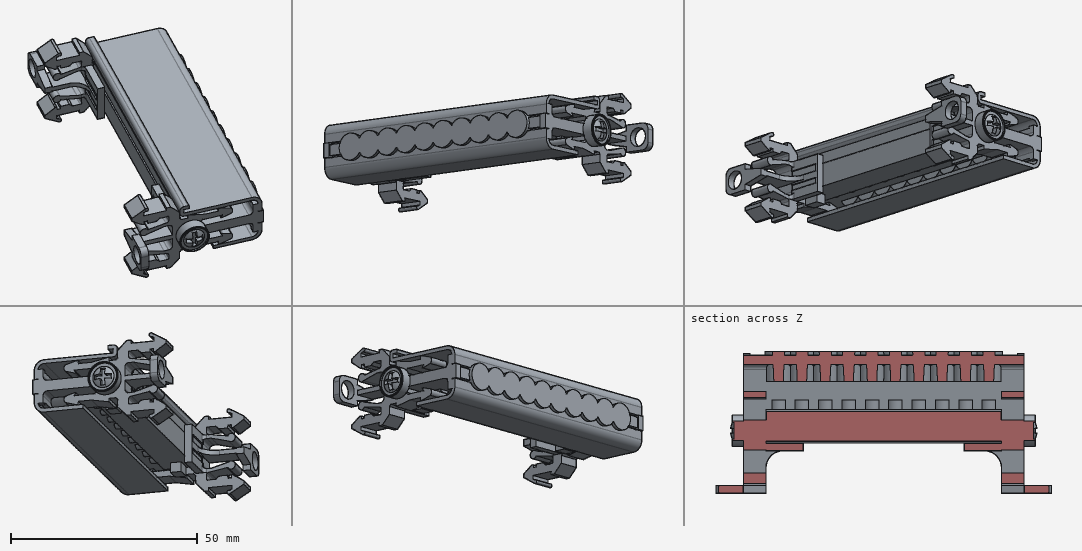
import cadquery as cq
import math

LENGTH = 89.9
DEPTH = 38.0
HEIGHT = 24.0
FOOT_Y = -DEPTH / 2
TOP_Y = DEPTH / 2
HOUSING_END = 37.6

COVER_TOP_Y = 18.0
COVER_WALL = 1.1
COVER_HALF_HEIGHT = 7.4
COVER_BEND = 2.9
COVER_LOWER_EDGE = 4.2
COVER_SLIT = 2.1
HOOK_Y = -5.3
HOOK_TOP = 9.6
HOOK_LIP_Y = -2.7
HOOK_THICKNESS = 1.1
HOOK_LIP_ROUND = 0.4

RAIL_HALF = 3.0 / 2
TEE_END_LENGTH = 1.8
TEE_HEAD_Y = 18.4
TEE_HEAD_HALF = 2.0
TEE_FLANGE_HALF = 4.2
TEE_END_FLANGE_HALF = 4.8
TEE_FLANGE_Y = 15.5
TEE_FILLET = 1.3

SOCKET_COUNT = 10
SOCKET_ROW = 56.3
SOCKET_PITCH = SOCKET_ROW / (SOCKET_COUNT - 1)
SOCKET_RADIUS = 3.7
SOCKET_TAIL_RADIUS = 3.5
SOCKET_BOTTOM_Y = 10.9
PIN_RADIUS = 2.3
PIN_TOP_Y = 5.9

BODY_TOP_Y = 3.4
BODY_BACK_Y = -5.6
LEDGE_BACK_Y = -5.1
BODY_BOTTOM = -3.3
BODY_SEAM = 3.15
LEDGE_TOP_Y = 3.0

BRACKET_WIDTH = 6.1
BRACKET_INNER = HOUSING_END - BRACKET_WIDTH
BRACKET_BACK_Y = -7.5
WEB_HALF = 0.67
WINDOW_HALF = 3.1
WINDOW_CORNER = 1.2
SPRING_BALL_Y = -15.5
SPRING_BALL_Z = 3.9
SPRING_BALL_RADIUS = 1.2
HOOK_TIP_RADIUS = 0.5
HOOK_TIP_Y = -14.8
TOOTH_TAB_START = 30.7
TOOTH_TAB_END = 26.4
TOOTH_TAB_BOTTOM = -6.0
TOOTH_TAB_Y = (-3.1, 0.0)

PAD_END = 21.5
PAD_HALF = 5.3
PAD_BACK_Y = -7.6
SLOT_END = 22.4
SLOT_DEPTH = 0.45
SLOT_SPANS = ((0.7, 2.7), (-2.7, -1.2))
GUSSET_RADIUS = 4.5
PAD_FILLET = 0.9

LUG_THICKNESS = 2.2
LUG_HALF = 3.7
LUG_CORNER = 1.9
LUG_HOLE_X = 41.5
LUG_HOLE_RADIUS = 2.5
LUG_NECK_HALF = 2.2
LUG_TIP_HALF = 0.9

SCREW_Y = -2.25
SCREW_RADIUS = 4.2
SCREW_FACE = 40.6
SCREW_CHAMFER = 0.2
RIM_RADIUS = 3.9
RIM_DEPTH = 0.5
DOME_RADIUS = 3.0
DOME_HEIGHT = 1.0
CROSS_LENGTH = 4.7
CROSS_WIDTH = 1.3
CROSS_DEPTH = 1.8


def block(x, y, z):
    """Axis-aligned box given by its two limits on each axis."""
    size = [max(span) - min(span) for span in (x, y, z)]
    return cq.Workplane("XY").box(*size, centered=False).translate((min(x), min(y), min(z)))


def extrude_x(profile, start, end):
    """Extrude a closed profile on the YZ plane from start to end along X."""
    return profile.extrude(end - start).translate((start, 0, 0))


def both_sides(solid):
    """Solid joined with its mirror image across the XY plane."""
    return solid.union(solid.mirror("XY"))


def make_cover():
    """Bent sheet over the housing, with a hooked edge on top and a plain edge below."""
    inner_z = COVER_HALF_HEIGHT - COVER_WALL
    inner_y = COVER_TOP_Y - COVER_WALL
    inner_bend = COVER_BEND - COVER_WALL

    def bent_sheet(edge_y):
        bend_y = COVER_TOP_Y - COVER_BEND
        bend_z = COVER_HALF_HEIGHT - COVER_BEND
        diagonal = math.sqrt(0.5)
        return extrude_x(
            cq.Workplane("YZ")
            .moveTo(COVER_TOP_Y, COVER_SLIT)
            .lineTo(COVER_TOP_Y, bend_z)
            .threePointArc((bend_y + COVER_BEND * diagonal, bend_z + COVER_BEND * diagonal),
                           (bend_y, COVER_HALF_HEIGHT))
            .lineTo(edge_y, COVER_HALF_HEIGHT)
            .lineTo(edge_y, inner_z)
            .lineTo(bend_y, inner_z)
            .threePointArc((bend_y + inner_bend * diagonal, bend_z + inner_bend * diagonal),
                           (inner_y, bend_z))
            .lineTo(inner_y, COVER_SLIT)
            .close(),
            -HOUSING_END, HOUSING_END)

    full = (-HOUSING_END, HOUSING_END)
    hook = block(full, (HOOK_Y, HOOK_LIP_Y), (inner_z, HOOK_TOP))
    hook = hook.edges("|X and <Y").fillet(HOOK_THICKNESS)
    hook = hook.cut(block(full, (HOOK_Y + HOOK_THICKNESS, 0),
                          (COVER_HALF_HEIGHT, HOOK_TOP - HOOK_THICKNESS)))
    hook = hook.edges("|X and >Y").edges(">Z").fillet(HOOK_LIP_ROUND)
    lower = bent_sheet(COVER_LOWER_EDGE).mirror("XY")
    return bent_sheet(HOOK_Y + HOOK_THICKNESS).union(hook).union(lower)


def make_tee():
    """T-section rail along the whole housing, with a wider flange and a raised head at each end."""
    inner_y = COVER_TOP_Y - COVER_WALL
    span = (-HOUSING_END, HOUSING_END)
    stem = block(span, (SCREW_Y, COVER_TOP_Y), (-RAIL_HALF, RAIL_HALF))
    flange = block(span, (TEE_FLANGE_Y, inner_y), (-TEE_FLANGE_HALF, TEE_FLANGE_HALF))
    tee = stem.union(flange)
    margin = 0.1
    inside_corners = cq.selectors.BoxSelector(
        (-margin, TEE_FLANGE_Y - margin, -RAIL_HALF - margin),
        (margin, TEE_FLANGE_Y + margin, RAIL_HALF + margin))
    tee = tee.edges("|X").edges(inside_corners).fillet(TEE_FILLET)
    end_span = (-HOUSING_END, -HOUSING_END + TEE_END_LENGTH)
    head = block(end_span, (inner_y, TEE_HEAD_Y), (-TEE_HEAD_HALF, TEE_HEAD_HALF))
    end_flange = block(end_span, (TEE_FLANGE_Y, inner_y),
                       (-TEE_END_FLANGE_HALF, TEE_END_FLANGE_HALF))
    tee_end = head.union(end_flange)
    return tee.union(tee_end).union(tee_end.mirror("YZ"))


def make_sockets():
    """Row of tapered sockets along +Y with a round pin behind each one."""
    def cone(x, low, low_radius, high, high_radius):
        return cq.Workplane(cq.Solid.makeCone(low_radius, high_radius, high - low,
                                              cq.Vector(x, low, 0), cq.Vector(0, 1, 0)))

    sockets = cq.Workplane("XY")
    for index in range(SOCKET_COUNT):
        x = index * SOCKET_PITCH - SOCKET_ROW / 2
        pin = (cq.Workplane("XZ", origin=(x, PIN_TOP_Y, 0))
               .circle(PIN_RADIUS).extrude(PIN_TOP_Y - BODY_TOP_Y))
        sockets = sockets.union(cone(x, SOCKET_BOTTOM_Y, SOCKET_TAIL_RADIUS, TOP_Y, SOCKET_RADIUS))
        sockets = sockets.union(pin)
    return sockets


def make_body():
    """Core block with a set-back ledge that carries the cover."""
    ledge_top = COVER_HALF_HEIGHT - COVER_WALL
    span = (-BRACKET_INNER, BRACKET_INNER)
    core = block(span, (BODY_BACK_Y, BODY_TOP_Y), (BODY_BOTTOM, BODY_SEAM))
    ledge = block(span, (LEDGE_BACK_Y, LEDGE_TOP_Y), (BODY_SEAM, ledge_top))
    return core.union(ledge)


def make_bracket_frame():
    """Constant-section bracket: two latches, two springs, two hooked feet and a web."""
    half_outline = (
        cq.Workplane("YZ")
        .moveTo(0, 0)
        .lineTo(BRACKET_BACK_Y, 0)
        .lineTo(BRACKET_BACK_Y, WINDOW_HALF)
        .radiusArc((BRACKET_BACK_Y - WINDOW_CORNER, WINDOW_HALF + WINDOW_CORNER), -WINDOW_CORNER)
        .lineTo(-9.9, 4.2)
        .lineTo(-14.9, 2.9)
        .lineTo(SPRING_BALL_Y, SPRING_BALL_Z)
        .lineTo(-14.3, 4.5)
        .lineTo(-9.35, 5.3)
        .threePointArc((-8.8, 5.5), (-8.5, 5.9))
        .lineTo(-8.5, 7.0)
        .threePointArc((-8.6, 7.4), (-9.0, 7.5))
        .lineTo(-11.15, 7.5)
        .lineTo(-12.0, 6.65)
        .lineTo(-14.5, 6.65)
        .lineTo(-14.6, 7.5)
        .lineTo(-15.5, 7.5)
        .lineTo(-15.55, 6.65)
        .lineTo(-16.1, 6.65)
        .lineTo(FOOT_Y, 8.6)
        .lineTo(FOOT_Y, 9.6)
        .lineTo(-15.2, 11.9)
        .lineTo(-14.8, 11.1)
        .lineTo(-15.6, 10.6)
        .lineTo(-15.6, 9.6)
        .lineTo(-9.2, 9.6)
        .lineTo(-9.2, 10.5)
        .lineTo(-8.0, 10.5)
        .lineTo(-5.5, 8.0)
        .lineTo(-5.5, 5.8)
        .lineTo(-4.9, 5.3)
        .lineTo(-3.1, 5.3)
        .lineTo(-3.1, 6.3)
        .lineTo(1.9, 5.3)
        .lineTo(5.6, 5.3)
        .lineTo(5.7, 6.2)
        .lineTo(6.4, 6.1)
        .lineTo(9.2, 5.3)
        .threePointArc((9.6, 4.5), (9.2, 3.5))
        .lineTo(6.7, 2.8)
        .lineTo(6.3, 2.8)
        .lineTo(6.7, 3.6)
        .lineTo(1.1, 3.6)
        .lineTo(0, 2.7)
        .close())
    span = (-HOUSING_END, -BRACKET_INNER)
    half = extrude_x(half_outline, *span)
    rounds = (
        (SPRING_BALL_Y, SPRING_BALL_Z, SPRING_BALL_RADIUS),
        (HOOK_TIP_Y, HEIGHT / 2 - HOOK_TIP_RADIUS, HOOK_TIP_RADIUS),
    )
    for y, z, radius in rounds:
        half = half.union(extrude_x(cq.Workplane("YZ").center(y, z).circle(radius), *span))
    web = block(span, (FOOT_Y, BRACKET_BACK_Y), (-WEB_HALF, WEB_HALF))
    return both_sides(half).union(web)


def make_pad():
    """Flat pad with two shallow slots, a corner fillet and the gusset to the web."""
    pad = block((-BRACKET_INNER, -PAD_END), (PAD_BACK_Y, BODY_BACK_Y), (-PAD_HALF, PAD_HALF))

    def quarter_gusset(radius, half_height):
        corner = block((-BRACKET_INNER, -BRACKET_INNER + radius),
                       (PAD_BACK_Y - radius, PAD_BACK_Y), (-half_height, half_height))
        round_cut = (cq.Workplane("XY", origin=(-BRACKET_INNER + radius, PAD_BACK_Y - radius,
                                                -half_height))
                     .circle(radius).extrude(2 * half_height))
        return corner.cut(round_cut)

    for low, high in SLOT_SPANS:
        pad = pad.cut(block((-BRACKET_INNER, -SLOT_END),
                            (PAD_BACK_Y, PAD_BACK_Y + SLOT_DEPTH), (low, high)))
    fillet_span = (-BRACKET_INNER, -BRACKET_INNER + PAD_FILLET)
    window = block(fillet_span, (FOOT_Y, 0), (-WINDOW_HALF, WINDOW_HALF))
    for z in (-WINDOW_HALF, WINDOW_HALF):
        corner_round = cq.Workplane("YZ").center(BRACKET_BACK_Y - WINDOW_CORNER, z)
        window = window.union(extrude_x(corner_round.circle(WINDOW_CORNER), *fillet_span))
    side_fillet = quarter_gusset(PAD_FILLET, PAD_HALF).cut(window)
    return pad.union(quarter_gusset(GUSSET_RADIUS, WEB_HALF)).union(side_fillet)


def make_lug():
    """Screw-down lug with a rounded outer end and a neck tapering towards the web."""
    outer = LENGTH / 2
    plate = block((-outer, -HOUSING_END), (FOOT_Y, FOOT_Y + LUG_THICKNESS), (-LUG_HALF, LUG_HALF))
    plate = plate.edges("|Y and <X").fillet(LUG_CORNER)
    neck = (cq.Workplane("XZ", origin=(0, FOOT_Y + LUG_THICKNESS, 0))
            .polyline([(-HOUSING_END, -LUG_NECK_HALF), (-BRACKET_INNER, -LUG_TIP_HALF),
                       (-BRACKET_INNER, LUG_TIP_HALF), (-HOUSING_END, LUG_NECK_HALF)])
            .close().extrude(LUG_THICKNESS))
    hole = (cq.Workplane("XZ", origin=(-LUG_HOLE_X, FOOT_Y + LUG_THICKNESS, 0))
            .circle(LUG_HOLE_RADIUS).extrude(LUG_THICKNESS))
    return plate.union(neck).cut(hole)


def make_screw():
    """Screw head with a rim around a sunken floor, a dome on the floor and a cross recess."""
    def axial(profile, start, end):
        return extrude_x(profile(cq.Workplane("YZ").center(SCREW_Y, 0)), start, end)

    floor = SCREW_FACE - RIM_DEPTH
    dome_tip = floor + DOME_HEIGHT
    head = axial(lambda plane: plane.circle(SCREW_RADIUS), -SCREW_FACE, -HOUSING_END)
    head = head.faces("<X").edges().chamfer(SCREW_CHAMFER)
    head = head.cut(axial(lambda plane: plane.circle(RIM_RADIUS), -SCREW_FACE, -floor))
    sphere_radius = (DOME_RADIUS ** 2 + DOME_HEIGHT ** 2) / (2 * DOME_HEIGHT)
    ball = cq.Workplane("XY").sphere(sphere_radius).translate(
        (sphere_radius - dome_tip, SCREW_Y, 0))
    cap_zone = axial(lambda plane: plane.circle(DOME_RADIUS), -dome_tip, -floor)
    screw = head.union(ball.intersect(cap_zone))
    for width, height in ((CROSS_LENGTH, CROSS_WIDTH), (CROSS_WIDTH, CROSS_LENGTH)):
        slot = axial(lambda plane: plane.rect(width, height), -dome_tip, CROSS_DEPTH - dome_tip)
        screw = screw.cut(slot)
    return screw


def make_tooth_tab():
    """Inner locking tab hanging below the body."""
    return block((-TOOTH_TAB_START, -TOOTH_TAB_END), TOOTH_TAB_Y, (TOOTH_TAB_BOTTOM, BODY_BOTTOM))


def make_end():
    """Everything fitted to the -X end of the housing."""
    return (make_bracket_frame()
            .union(make_pad())
            .union(make_lug())
            .union(make_screw())
            .union(make_tooth_tab()))


end = make_end()
result = (make_cover()
          .union(make_tee())
          .union(make_body())
          .union(make_sockets())
          .union(end)
          .union(end.mirror("YZ")))